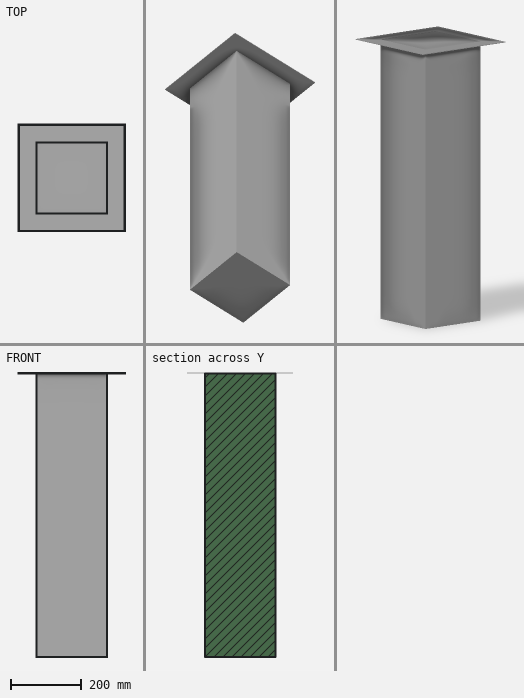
import cadquery as cq

column_side = 200.0
column_height = 800.0
flange_overhang = 50.0
flange_thickness = 2.0
recess_depth = 1.0

flange_side = column_side + 2 * flange_overhang
total_height = column_height + recess_depth
flange_bottom = total_height - flange_thickness


def make_column():
    """Square column standing on Z = 0."""
    return cq.Workplane("XY").rect(column_side, column_side).extrude(column_height)


def make_flange():
    """Thin square frame around the top of the column, rising above its top face."""
    return (
        cq.Workplane("XY")
        .workplane(offset=flange_bottom)
        .rect(flange_side, flange_side)
        .rect(column_side, column_side)
        .extrude(flange_thickness)
    )


result = make_column().union(make_flange())